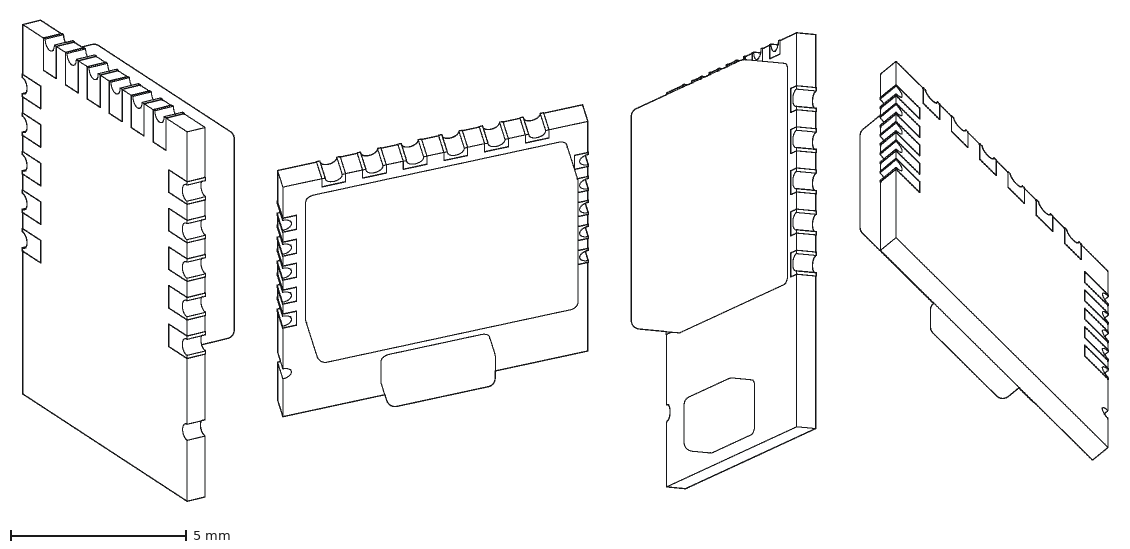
import cadquery as cq

BOARD_WIDTH = 9.0
BOARD_HEIGHT = 11.5
BOARD_THICKNESS = 0.6
HALF_WIDTH = BOARD_WIDTH / 2
HALF_HEIGHT = BOARD_HEIGHT / 2

COPPER = 0.01
PAD_WIDTH = 0.7
PAD_PITCH = 1.2
FRONT_PAD_LENGTH = 1.0
BACK_PAD_LENGTH = 0.4
TOP_PAD_COUNT = 6
SIDE_PAD_COUNT = 5
FIRST_SIDE_PAD_DROP = 1.9

NOTCH_RADIUS = 0.25
LONE_NOTCH_RISE = 2.15

COVER_ROUNDING = 0.25
SHIELD_WIDTH = 7.7
SHIELD_HEIGHT = 6.45
SHIELD_DEPTH = 1.5
SHIELD_DROP = 0.73
SHIELD_CENTER_X = -0.025
CHIP_WIDTH = 3.2
CHIP_HEIGHT = 1.6
CHIP_DEPTH = 0.85
CHIP_CENTER_X = 0.0
CHIP_RISE = 0.38


def block(x_min, x_max, y_min, y_max, z_min, z_max):
    """Box given by its limits along each axis."""
    size = (x_max - x_min, y_max - y_min, z_max - z_min)
    return cq.Workplane("XY").box(*size, centered=False).translate((x_min, y_min, z_min))


def top_pad():
    """Pad at the middle of the top edge, wrapping from the front face to the back face."""
    half_pad = PAD_WIDTH / 2
    outer_z = HALF_HEIGHT + COPPER
    front_end_z = HALF_HEIGHT - FRONT_PAD_LENGTH
    back_end_z = HALF_HEIGHT - BACK_PAD_LENGTH
    front = block(-half_pad, half_pad, -COPPER, BOARD_THICKNESS, front_end_z, outer_z)
    back = block(-half_pad, half_pad, 0, BOARD_THICKNESS + COPPER, back_end_z, outer_z)
    return front.union(back)


def side_pad():
    """Pad on the right edge at mid-height: the top pad turned a quarter and moved to that edge."""
    return top_pad().rotate((0, 0, 0), (0, 1, 0), 90).translate((HALF_WIDTH - HALF_HEIGHT, 0, 0))


def notch(x, z):
    """Round cutter through the board and its copper, centred on the board edge."""
    start_y = -COPPER
    length = BOARD_THICKNESS + 2 * COPPER
    return cq.Workplane("XZ", origin=(x, start_y, z)).circle(NOTCH_RADIUS).extrude(-length)


def rounded_cover(width, height, depth, center_x, center_z):
    """Box on the back face, rounded everywhere except where it meets the board."""
    half_width = width / 2
    half_height = height / 2
    cover = block(
        center_x - half_width,
        center_x + half_width,
        BOARD_THICKNESS,
        BOARD_THICKNESS + depth,
        center_z - half_height,
        center_z + half_height,
    )
    return cover.edges("|Y or >Y").fillet(COVER_ROUNDING)


top_pad_xs = [(i - (TOP_PAD_COUNT - 1) / 2) * PAD_PITCH for i in range(TOP_PAD_COUNT)]
side_pad_zs = [HALF_HEIGHT - FIRST_SIDE_PAD_DROP - i * PAD_PITCH for i in range(SIDE_PAD_COUNT)]

module = block(-HALF_WIDTH, HALF_WIDTH, 0, BOARD_THICKNESS, -HALF_HEIGHT, HALF_HEIGHT)
for x in top_pad_xs:
    module = module.union(top_pad().translate((x, 0, 0)))
for z in side_pad_zs:
    right_pad = side_pad().translate((0, 0, z))
    module = module.union(right_pad).union(right_pad.mirror("YZ"))

for x in top_pad_xs:
    module = module.cut(notch(x, HALF_HEIGHT))
for z in side_pad_zs:
    module = module.cut(notch(HALF_WIDTH, z)).cut(notch(-HALF_WIDTH, z))
module = module.cut(notch(HALF_WIDTH, LONE_NOTCH_RISE - HALF_HEIGHT))

shield_center_z = HALF_HEIGHT - SHIELD_DROP - SHIELD_HEIGHT / 2
chip_center_z = -HALF_HEIGHT + CHIP_RISE + CHIP_HEIGHT / 2
shield = rounded_cover(SHIELD_WIDTH, SHIELD_HEIGHT, SHIELD_DEPTH, SHIELD_CENTER_X, shield_center_z)
chip = rounded_cover(CHIP_WIDTH, CHIP_HEIGHT, CHIP_DEPTH, CHIP_CENTER_X, chip_center_z)

result = module.union(shield).union(chip)